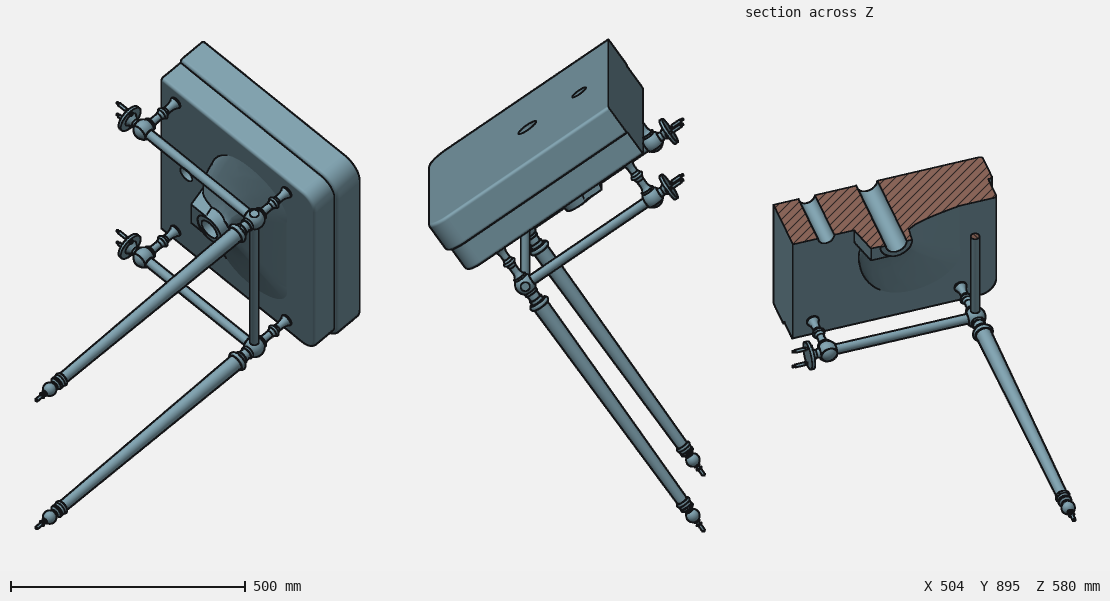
import cadquery as cq
import math


BASIN_DEPTH = 131.0
RIM_LENGTH = 470.0
RIM_HALF_WIDTH = 290.0
RIM_DEPTH = 72.0
RIM_OVERHANG = 10.0
CORNER_RADIUS = 49.0
RIM_FILLET = 7.0
UNDERSIDE_FILLET = 7.0
TAP_HOLE_X = 75.0
TAP_HOLE_RADIUS = 18.0
DRAIN_X = 210.0
DRAIN_HOLE_RADIUS = 23.0

BOWL_DEPTH = 45.0
BOWL_STEPS = 6
BOWL_LEFT = 150.0
BOWL_BULGE = 36.0
BOWL_RIGHT = 375.0
BOWL_HALF_WIDTH = 216.0
BOWL_END_LEFT = 197.0
BOWL_END_RIGHT = 244.0
BOWL_END_HALF_WIDTH = 33.0
BOWL_OUTLINE = [
    (1.0, 0.54),
    (0.95, 0.8),
    (0.76, 0.95),
    (0.53, 1.0),
    (0.31, 0.96),
    (0.17, 0.86),
    (0.04, 0.65),
    (0.0, 0.43),
    (0.06, 0.17),
]
DRAIN_BOSS_DEPTH = 67.0
DRAIN_BOSS_RADIUS = 36.0
DRAIN_BOSS_ROOT_RADIUS = 40.0
DRAIN_BOSS_ROOT_DEPTH = 31.0
OVERFLOW_DEPTH = 65.0
OVERFLOW_HALF_WIDTH = 34.0
OVERFLOW_TOP_X = 138.0
OVERFLOW_BOTTOM_X = 154.0

FRAME_HALF_WIDTH = 237.0
BRACKET_X = 45.0
LEG_X = 377.0
RAIL_Y = -99.0
SIDE_RAIL_RADIUS = 11.0
CROSS_RAIL_RADIUS = 10.0

POST_RADIUS = 8.0
POST_FOOT_RADIUS = 13.0
COLLAR_RADIUS = 13.0
COLLAR_Y = -40.0
COLLAR_HALF_HEIGHT = 4.0
BALL_RADIUS = 22.0
BALL_FACET = 18.0
BALL_SEAT_RADIUS = 14.0
BALL_SEAT_HEIGHT = 4.5
CAP_OFFSET = 12.5
CAP_BALL_RADIUS = 21.5

FLANGE_RADIUS = 30.0
FLANGE_THICKNESS = 7.0
STEM_ROOT_RADIUS = 16.0
STEM_NECK_RADIUS = 8.5
STEM_NECK_X = 19.0
SCREW_OFFSET = 21.5
SCREW_LENGTH = 34.0
SCREW_TIP_LENGTH = 6.0
SCREW_SHANK_LENGTH = 5.0
SCREW_RADIUS = 4.0
SCREW_CORE_RADIUS = 2.2
SCREW_HEAD_RADIUS = 4.5
SCREW_HEAD_HEIGHT = 3.0

NECK_RADIUS = 12.1
LEG_RING_RADIUS = 22.0
LEG_TOP_RADIUS = 17.45
LEG_BOTTOM_RADIUS = 12.1
LEG_TOP_Y = -157.0
LEG_BOTTOM_Y = -682.0
FOOT_RING_RADIUS = 15.7
FOOT_RADIUS = 14.0
FOOT_NECK_RADIUS = 9.0
FOOT_BALL_RADIUS = 14.8
FOOT_BALL_Y = -721.0
STUD_RADIUS = 4.0
STUD_COLLAR_RADIUS = 6.0
STUD_TIP_Y = BASIN_DEPTH - 895.0


def sphere_section(radius, offset):
    """Radius of the circle in which a plane at the given offset cuts a sphere."""
    return math.sqrt(radius**2 - offset**2)


def ball_point(radius, degrees):
    """Profile point on a ball at the height of the rails, at an angle from its equator."""
    angle = math.radians(degrees)
    return (radius * math.cos(angle), RAIL_Y + radius * math.sin(angle))


def cylinder_x(radius, start, end, y, z):
    """Cylinder along X."""
    return cq.Workplane("YZ", origin=(start, y, z)).circle(radius).extrude(end - start)


def cylinder_y(radius, start, end, x):
    """Cylinder along Y in the plane z = 0."""
    return cq.Workplane("XZ", origin=(x, start, 0)).circle(radius).extrude(start - end)




def basin_tier(overhang_cut, top, bottom):
    """Slab with its two front corners rounded, flat against the wall."""
    length = RIM_LENGTH - overhang_cut
    width = 2 * (RIM_HALF_WIDTH - overhang_cut)
    slab = cq.Workplane("XY").box(length, top - bottom, width, centered=(False, False, True))
    return slab.translate((0, bottom, 0)).edges("|Y and >X").fillet(CORNER_RADIUS - overhang_cut)


def bowl_section(fraction):
    """Closed outline of the bowl at a fraction of its depth."""
    remaining = 1 - fraction
    bulge = BOWL_BULGE * fraction * remaining
    left = BOWL_LEFT + (BOWL_END_LEFT - BOWL_LEFT) * fraction**3 - bulge
    right = BOWL_END_RIGHT + (BOWL_RIGHT - BOWL_END_RIGHT) * remaining**2.2
    half_width = BOWL_END_HALF_WIDTH + (BOWL_HALF_WIDTH - BOWL_END_HALF_WIDTH) * remaining**1.5
    y = -BOWL_DEPTH * fraction
    half = [(left + u * (right - left), w * half_width) for u, w in BOWL_OUTLINE]
    points = [cq.Vector(x, y, z) for x, z in half]
    points += [cq.Vector(x, y, -z) for x, z in reversed(half)]
    curve = cq.Edge.makeSpline(points)
    front = cq.Edge.makeLine(points[-1], points[0])
    return cq.Wire.assembleEdges([curve, front])


def make_bowl():
    sections = [bowl_section(step / BOWL_STEPS) for step in range(BOWL_STEPS + 1)]
    return cq.Workplane(cq.Solid.makeLoft(sections))


def make_drain_boss():
    """Tapered boss under the drain."""
    profile = [
        (0, 0),
        (DRAIN_BOSS_ROOT_RADIUS, 0),
        (DRAIN_BOSS_ROOT_RADIUS, -DRAIN_BOSS_ROOT_DEPTH),
        (DRAIN_BOSS_RADIUS, -DRAIN_BOSS_DEPTH),
        (0, -DRAIN_BOSS_DEPTH),
    ]
    boss = cq.Workplane("XY").polyline(profile).close().revolve(360, (0, 0, 0), (0, 1, 0))
    return boss.translate((DRAIN_X, 0, 0))


def make_overflow_block():
    """Block with a sloping back that runs into the drain boss."""
    profile = [
        (OVERFLOW_TOP_X, 0),
        (OVERFLOW_BOTTOM_X, -OVERFLOW_DEPTH),
        (DRAIN_X, -OVERFLOW_DEPTH),
        (DRAIN_X, 0),
    ]
    return cq.Workplane("XY").polyline(profile).close().extrude(OVERFLOW_HALF_WIDTH, both=True)


def make_basin():
    rim_bottom = BASIN_DEPTH - RIM_DEPTH
    rim = basin_tier(0, BASIN_DEPTH, rim_bottom)
    rim = rim.faces(">Y or <Y").edges("not <X").fillet(RIM_FILLET)
    lower = basin_tier(RIM_OVERHANG, rim_bottom, 0)
    lower = lower.faces("<Y").edges("not <X").fillet(UNDERSIDE_FILLET)
    body = rim.union(lower).union(make_bowl()).union(make_drain_boss()).union(make_overflow_block())
    tap_hole = cylinder_y(TAP_HOLE_RADIUS, BASIN_DEPTH, 0, TAP_HOLE_X)
    drain_hole = cylinder_y(DRAIN_HOLE_RADIUS, BASIN_DEPTH, -DRAIN_BOSS_DEPTH, DRAIN_X)
    return body.cut(tap_hole).cut(drain_hole)




def post_profile():
    """Radius and height profile of a post, from the basin down to the equator of its ball."""
    collar_top = COLLAR_Y + COLLAR_HALF_HEIGHT
    collar_bottom = COLLAR_Y - COLLAR_HALF_HEIGHT
    seat_bottom = RAIL_Y + sphere_section(BALL_RADIUS, BALL_SEAT_RADIUS)
    seat_top = seat_bottom + BALL_SEAT_HEIGHT
    return (
        cq.Workplane("XY")
        .lineTo(POST_FOOT_RADIUS, 0)
        .lineTo(POST_FOOT_RADIUS, -3.0)
        .threePointArc((9.4, -12.0), (POST_RADIUS, -20.0))
        .lineTo(POST_RADIUS, -30.0)
        .lineTo(11.0, collar_top)
        .threePointArc((COLLAR_RADIUS, COLLAR_Y), (11.0, collar_bottom))
        .lineTo(POST_RADIUS, -52.0)
        .lineTo(POST_RADIUS, -66.0)
        .threePointArc((9.4, -72.5), (12.5, seat_top))
        .lineTo(BALL_SEAT_RADIUS, seat_top)
        .lineTo(BALL_SEAT_RADIUS, seat_bottom)
        .threePointArc(ball_point(BALL_RADIUS, 15), (BALL_RADIUS, RAIL_Y))
    )


def turn(profile):
    """Close a profile and revolve it about the Y axis."""
    return profile.close().revolve(360, (0, 0, 0), (0, 1, 0))


def facet_cutter(side):
    """Block that cuts the flat facet on one side of a ball along X."""
    block = cq.Workplane("XY").box(BALL_RADIUS, 3 * BALL_RADIUS, 3 * BALL_RADIUS)
    return block.translate((side * (BALL_FACET + BALL_RADIUS / 2), RAIL_Y, 0))




def make_screw(z):
    """Wall screw with its head on the flange."""
    shank_start = -SCREW_SHANK_LENGTH
    head_end = FLANGE_THICKNESS + SCREW_HEAD_HEIGHT
    core = cylinder_x(SCREW_CORE_RADIUS, -SCREW_LENGTH, FLANGE_THICKNESS, RAIL_Y, z)
    thread = cylinder_x(SCREW_RADIUS, SCREW_TIP_LENGTH - SCREW_LENGTH, shank_start, RAIL_Y, z)
    head = cylinder_x(SCREW_HEAD_RADIUS, FLANGE_THICKNESS, head_end, RAIL_Y, z)
    return core.union(thread).union(head)


def make_stem():
    """Wall flange and the waisted stem that carries the ball."""
    stem = (
        cq.Workplane("XY")
        .lineTo(0, FLANGE_RADIUS)
        .lineTo(FLANGE_THICKNESS, FLANGE_RADIUS)
        .lineTo(FLANGE_THICKNESS, STEM_ROOT_RADIUS)
        .lineTo(STEM_NECK_X, STEM_NECK_RADIUS)
        .lineTo(BRACKET_X - BALL_FACET, SIDE_RAIL_RADIUS)
        .lineTo(BRACKET_X, SIDE_RAIL_RADIUS)
        .lineTo(BRACKET_X, 0)
        .close()
        .revolve(360, (0, 0, 0), (1, 0, 0))
    )
    return stem.translate((0, RAIL_Y, 0))


def make_bracket_post():
    """Post and ball, with a stepped cap on the ball and a flat facet on each side along X."""
    cap_y = RAIL_Y - CAP_OFFSET
    seam_radius = sphere_section(BALL_RADIUS, CAP_OFFSET)
    cap_radius = sphere_section(CAP_BALL_RADIUS, CAP_OFFSET)
    profile = (
        post_profile()
        .threePointArc(ball_point(BALL_RADIUS, -15), (seam_radius, cap_y))
        .lineTo(cap_radius, cap_y)
        .threePointArc(ball_point(CAP_BALL_RADIUS, -60), (0, RAIL_Y - CAP_BALL_RADIUS))
    )
    post = turn(profile).cut(facet_cutter(-1)).cut(facet_cutter(1))
    return post.translate((BRACKET_X, 0, 0))


def make_bracket():
    rail = cylinder_x(SIDE_RAIL_RADIUS, BRACKET_X, LEG_X - BALL_FACET, RAIL_Y, 0)
    body = make_bracket_post().union(make_stem()).union(rail)
    for side in (-1, 1):
        body = body.union(make_screw(side * SCREW_OFFSET))
    return body




def make_leg():
    """Post, ball and tapered leg turned in one piece, drilled for the cross rail."""
    seat_y = RAIL_Y - sphere_section(BALL_RADIUS, BALL_SEAT_RADIUS)
    foot_ball_offset = sphere_section(FOOT_BALL_RADIUS, FOOT_NECK_RADIUS)
    stud_offset = sphere_section(FOOT_BALL_RADIUS, STUD_COLLAR_RADIUS)
    profile = (
        post_profile()
        .threePointArc(ball_point(BALL_RADIUS, -20), (BALL_SEAT_RADIUS, seat_y))
        .lineTo(BALL_SEAT_RADIUS, -123.0)
        .lineTo(NECK_RADIUS, -123.0)
        .lineTo(NECK_RADIUS, -137.0)
        .lineTo(14.0, -137.0)
        .lineTo(14.0, -145.0)
        .lineTo(20.0, -146.0)
        .threePointArc((LEG_RING_RADIUS, -151.0), (20.0, LEG_TOP_Y))
        .lineTo(LEG_TOP_RADIUS, LEG_TOP_Y)
        .lineTo(LEG_BOTTOM_RADIUS, LEG_BOTTOM_Y)
        .lineTo(FOOT_RADIUS, LEG_BOTTOM_Y)
        .threePointArc((FOOT_RING_RADIUS, -685.5), (FOOT_RADIUS, -689.0))
        .lineTo(13.0, -696.0)
        .lineTo(FOOT_RADIUS, -697.0)
        .lineTo(FOOT_RADIUS, -702.0)
        .lineTo(FOOT_NECK_RADIUS, -706.0)
        .lineTo(FOOT_NECK_RADIUS, FOOT_BALL_Y + foot_ball_offset)
        .threePointArc((FOOT_BALL_RADIUS, FOOT_BALL_Y), (STUD_COLLAR_RADIUS, FOOT_BALL_Y - stud_offset))
        .lineTo(STUD_COLLAR_RADIUS, -737.0)
        .lineTo(STUD_RADIUS, -737.0)
        .lineTo(STUD_RADIUS, -744.0)
        .lineTo(STUD_COLLAR_RADIUS, -744.0)
        .lineTo(STUD_COLLAR_RADIUS, -745.5)
        .lineTo(STUD_RADIUS, -745.5)
        .lineTo(STUD_RADIUS, -762.0)
        .lineTo(0, STUD_TIP_Y)
    )
    bore_start = (0, RAIL_Y, -2 * BALL_RADIUS)
    bore = cq.Workplane("XY", origin=bore_start).circle(CROSS_RAIL_RADIUS).extrude(4 * BALL_RADIUS)
    return turn(profile).cut(facet_cutter(-1)).cut(bore).translate((LEG_X, 0, 0))




def make_cross_rail():
    """Rail through both leg balls, ending flush with their surfaces."""
    half_length = FRAME_HALF_WIDTH + sphere_section(BALL_RADIUS, CROSS_RAIL_RADIUS)
    start = (LEG_X, RAIL_Y, -half_length)
    return cq.Workplane("XY", origin=start).circle(CROSS_RAIL_RADIUS).extrude(2 * half_length)



basin = make_basin()
cross_rail = make_cross_rail()
brackets = []
legs = []
for side in (-1, 1):
    place = (0, 0, side * FRAME_HALF_WIDTH)
    brackets.append(make_bracket().translate(place).val())
    legs.append(make_leg().translate(place).val())

result = cq.Compound.makeCompound([basin.val(), cross_rail.val(), *brackets, *legs])